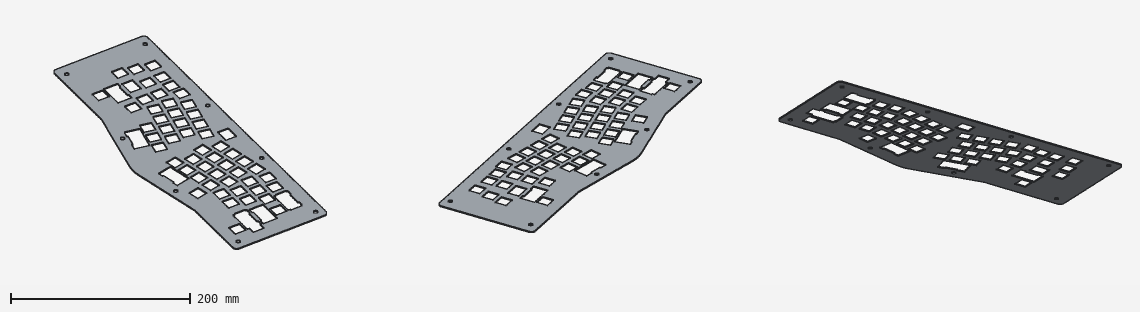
import cadquery as cq
import math

plate_length = 384.7
plate_width = 142.7
plate_thickness = 1.6
corner_radius = 5.0
straight_edge_y = -51.5
wedge_center_x = 9.5
wedge_tip_radius = 46.0
tilt = 12.0

key_pitch = 381.0 / 20
web = 5.0
switch_size = key_pitch - web

stabilizer_spacing = 24.0
stabilizer_width = 6.5
stabilizer_near = 8.5
stabilizer_far = 10.0

number_row_rear_y = 54.0
number_row_y = number_row_rear_y - switch_size / 2
upper_row_y = number_row_y - key_pitch
home_row_y = upper_row_y - key_pitch
lower_row_y = home_row_y - key_pitch
bottom_row_y = lower_row_y - key_pitch

upright_rows = [
    (49.2, [-140.8, -80.8, 100.0]),
    (number_row_y, [-117.7, -99.0, 119.0]),
    (29.5, [-145.5]),
    (28.5, [95.5]),
    (upper_row_y, [-117.5, -93.5, 114.0, 132.7, 156.5]),
    (10.8, [-149.0]),
    (home_row_y, [-93.5, 104.0, 123.0]),
    (lower_row_y, [-87.7, 98.0, 117.5]),
    (bottom_row_y, [-125.8, 161.5]),
]

backspace_x = 147.7
caps_lock_x = -121.5
enter_x = 154.0
left_shift_x = -119.0
right_shift_x = 152.7
function_key_shift = 7 * key_pitch / 8

left_inner_u = -20.0
left_top_v = 29.5
left_rows = [(0, 4), (-0.5, 4), (-0.25, 4), (0.25, 3)]
right_inner_u = 21.5
right_top_v = 31.0
right_rows = [(0, 4), (-0.5, 4), (-0.25, 4), (-0.75, 4)]

left_space_u = -38.0
left_space_shift = key_pitch / 16
left_space_v = left_top_v - len(left_rows) * key_pitch
right_space_u = 24.0
right_space_v = right_top_v - len(right_rows) * key_pitch
right_thumb_key = (65.0, -46.5)

rear_opening_center = (9.2, 52.7)
rear_opening_length = 17.7
rear_opening_width = 14.0

screw_diameter = 5.0
screw_centers = [
    (-178.5, 62.5), (-46.5, 62.5), (66.5, 62.5), (181.5, 61.0),
    (-178.5, -40.8), (-46.0, -50.5), (66.5, -50.8), (181.5, -40.8),
]


def plate():
    """Flat plate whose front edge runs out to a blunt, rounded wedge."""
    slope = math.radians(tilt)
    half_length = plate_length / 2
    rear_y = plate_width / 2
    front_y = -plate_width / 2
    tip_half = wedge_tip_radius * math.sin(slope)
    tip_end_y = front_y + wedge_tip_radius * (1 - math.cos(slope))
    wedge_half = tip_half + (straight_edge_y - tip_end_y) / math.tan(slope)
    blank = (
        cq.Workplane("XY")
        .moveTo(-half_length, rear_y)
        .lineTo(-half_length, straight_edge_y)
        .lineTo(wedge_center_x - wedge_half, straight_edge_y)
        .lineTo(wedge_center_x - tip_half, tip_end_y)
        .threePointArc((wedge_center_x, front_y), (wedge_center_x + tip_half, tip_end_y))
        .lineTo(wedge_center_x + wedge_half, straight_edge_y)
        .lineTo(half_length, straight_edge_y)
        .lineTo(half_length, rear_y)
        .close()
        .extrude(plate_thickness)
    )
    return blank.edges("|Z and (<X or >X)").fillet(corner_radius)


def opening(x, y, length, width):
    return cq.Workplane("XY").center(x, y).rect(length, width).extrude(plate_thickness)


def switch(x, y):
    return opening(x, y, switch_size, switch_size)


def stabilized_key(x, y, feet):
    """Wide opening with two stabilizer feet toward +Y (feet=1) or -Y (feet=-1)."""
    length = stabilizer_spacing + stabilizer_width
    body_width = switch_size / 2 + stabilizer_far
    cut = opening(x, y + feet * (switch_size - body_width) / 2, length, body_width)
    foot_width = stabilizer_near + stabilizer_far
    foot_y = y + feet * (stabilizer_near - stabilizer_far) / 2
    for side in (-1, 1):
        foot_x = x + side * stabilizer_spacing / 2
        cut = cut.union(opening(foot_x, foot_y, stabilizer_width, foot_width))
    return cut


def backspace_key(x, y):
    """Stabilized opening that also takes two single switches side by side."""
    cut = stabilized_key(x, y, 1)
    for side in (-1, 1):
        cut = cut.union(switch(x + side * key_pitch / 2, y))
    return cut


def right_shift_key(x, y):
    """Stabilized opening that also takes a shorter shift and a function key beside it."""
    cut = stabilized_key(x, y, 1)
    cut = cut.union(switch(x - key_pitch / 2, y))
    return cut.union(switch(x + function_key_shift, y))


def upright_keys():
    cutters = [switch(x, y) for y, centers in upright_rows for x in centers]
    cutters.append(backspace_key(backspace_x, number_row_y))
    cutters.append(opening(caps_lock_x, home_row_y, switch_size + key_pitch / 4, switch_size))
    cutters.append(stabilized_key(enter_x, home_row_y, -1))
    cutters.append(stabilized_key(left_shift_x, lower_row_y, 1))
    cutters.append(right_shift_key(right_shift_x, lower_row_y))
    return cutters


def key_block(inner_u, top_v, rows, side):
    """Rows of single keys running outward from the innermost key."""
    cutters = []
    for row, (shift, count) in enumerate(rows):
        for column in range(count):
            key_u = inner_u + (shift + side * column) * key_pitch
            cutters.append(switch(key_u, top_v - row * key_pitch))
    return cutters


def turned(cutters, side):
    """Turn cutters to the left (side=-1) or right (side=1) hand's angle."""
    return [
        cutter.rotate((0, 0, 0), (0, 0, 1), side * tilt).translate((wedge_center_x, 0, 0))
        for cutter in cutters
    ]


def tilted_keys():
    left = key_block(left_inner_u, left_top_v, left_rows, -1)
    for shift in (-left_space_shift, left_space_shift):
        left.append(stabilized_key(left_space_u + shift, left_space_v, -1))
    right = key_block(right_inner_u, right_top_v, right_rows, 1)
    right.append(stabilized_key(right_space_u, right_space_v, -1))
    right.append(switch(*right_thumb_key))
    return turned(left, -1) + turned(right, 1)


def screw_holes():
    holes = cq.Workplane("XY").pushPoints(screw_centers).circle(screw_diameter / 2)
    return holes.extrude(plate_thickness)


rear_opening = opening(*rear_opening_center, rear_opening_length, rear_opening_width)

result = plate().cut(screw_holes()).cut(rear_opening)
for key in upright_keys() + tilted_keys():
    result = result.cut(key)